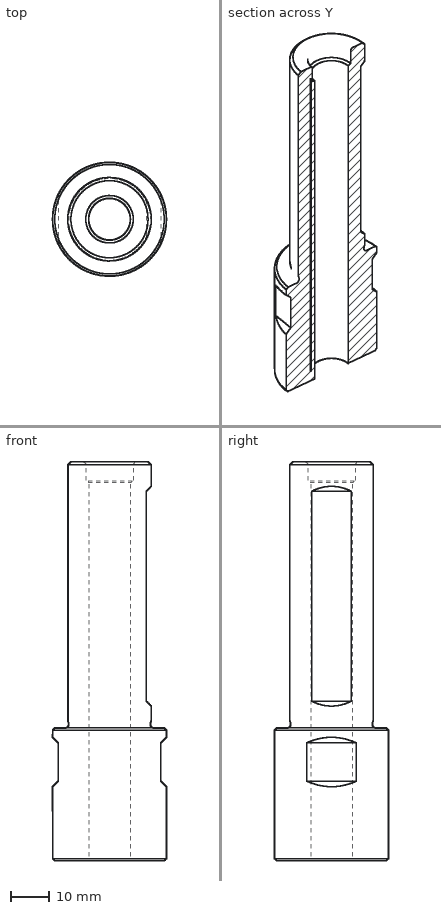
import cadquery as cq
import math

total_length = 105.0
collar_diameter = 30.0
collar_length = 35.0
collar_chamfer = 0.6
shank_diameter = 22.0
shank_chamfer = 0.85

relief_diameter = 21.6
relief_fillet = 0.8
relief_straight_height = 0.35
relief_taper_height = 0.75

bore_diameter = 10.92
counterbore_diameter = 12.5
counterbore_depth = 5.0
counterbore_floor_angle = 120.0
mouth_fillet = 0.9

wrench_across_flats = 27.0
wrench_flat_length = 10.0
wrench_flat_centre_z = 26.0

clamp_flat_distance = 9.7
clamp_flat_bottom_z = 42.0
clamp_flat_top_z = 97.2

collar_radius = collar_diameter / 2
shank_radius = shank_diameter / 2
relief_radius = relief_diameter / 2


def make_body():
    """Revolve the collar, relief groove and shank as one profile."""
    relief_straight_bottom = collar_length + relief_fillet
    relief_straight_top = relief_straight_bottom + relief_straight_height
    fillet_outer_radius = relief_radius + relief_fillet
    return (
        cq.Workplane("XZ")
        .moveTo(0, 0)
        .lineTo(collar_radius - collar_chamfer, 0)
        .lineTo(collar_radius, collar_chamfer)
        .lineTo(collar_radius, collar_length - collar_chamfer)
        .lineTo(collar_radius - collar_chamfer, collar_length)
        .lineTo(fillet_outer_radius, collar_length)
        .radiusArc((relief_radius, relief_straight_bottom), relief_fillet)
        .lineTo(relief_radius, relief_straight_top)
        .lineTo(shank_radius, relief_straight_top + relief_taper_height)
        .lineTo(shank_radius, total_length - shank_chamfer)
        .lineTo(shank_radius - shank_chamfer, total_length)
        .lineTo(0, total_length)
        .close()
        .revolve(360, (0, 0, 0), (0, 1, 0))
    )


def make_bore():
    """Through bore with a cone-floored counterbore and a rounded mouth at the top."""
    mouth_bottom_z = total_length - mouth_fillet
    counterbore_floor_z = total_length - counterbore_depth
    floor_step = (counterbore_diameter - bore_diameter) / 2
    floor_cone_height = floor_step / math.tan(math.radians(counterbore_floor_angle / 2))
    return (
        cq.Workplane("XZ")
        .moveTo(0, 0)
        .lineTo(bore_diameter / 2, 0)
        .lineTo(bore_diameter / 2, counterbore_floor_z - floor_cone_height)
        .lineTo(counterbore_diameter / 2, counterbore_floor_z)
        .lineTo(counterbore_diameter / 2, mouth_bottom_z)
        .radiusArc((counterbore_diameter / 2 + mouth_fillet, total_length), mouth_fillet)
        .lineTo(0, total_length)
        .close()
        .revolve(360, (0, 0, 0), (0, 1, 0))
    )


def make_flat_cutter(flat_distance, outer_radius, bottom_z, top_z):
    """Cutter for a flat facing +X whose two ends slope outward at 45 degrees."""
    cut_depth = outer_radius - flat_distance
    return (
        cq.Workplane("XZ")
        .moveTo(flat_distance, bottom_z)
        .lineTo(outer_radius, bottom_z - cut_depth)
        .lineTo(outer_radius, top_z + cut_depth)
        .lineTo(flat_distance, top_z)
        .close()
        .extrude(outer_radius, both=True)
    )


def cut_wrench_flats(body):
    cutter = make_flat_cutter(
        wrench_across_flats / 2,
        collar_radius,
        wrench_flat_centre_z - wrench_flat_length / 2,
        wrench_flat_centre_z + wrench_flat_length / 2,
    )
    return body.cut(cutter).cut(cutter.mirror("YZ"))


def cut_clamp_flat(body):
    cutter = make_flat_cutter(clamp_flat_distance, shank_radius, clamp_flat_bottom_z, clamp_flat_top_z)
    return body.cut(cutter)


result = make_body().cut(make_bore())
result = cut_wrench_flats(result)
result = cut_clamp_flat(result)